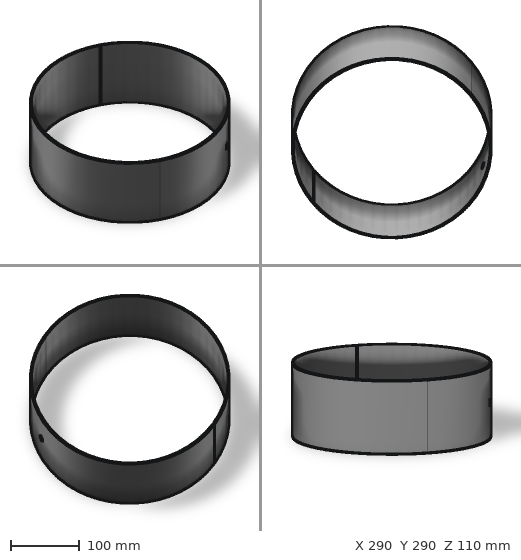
import cadquery as cq

outer_diameter = 290.0
height = 110.0
wall = 2.5
slit_width = 2.3
slit_offset = slit_width / 2
hole_diameter = 10.0
hole_angle = 59
outer_bevel_height = 1.7
outer_bevel_depth = 0.5
inner_bevel = 0.5

outer_radius = outer_diameter / 2
inner_radius = outer_radius - wall
mid_height = height / 2


def make_band():
    """Thin cylindrical band centred on the origin, bevelled on its inner and outer rims."""
    profile = [
        (inner_radius + inner_bevel, -mid_height),
        (outer_radius - outer_bevel_depth, -mid_height),
        (outer_radius, outer_bevel_height - mid_height),
        (outer_radius, mid_height - outer_bevel_height),
        (outer_radius - outer_bevel_depth, mid_height),
        (inner_radius + inner_bevel, mid_height),
        (inner_radius, mid_height - inner_bevel),
        (inner_radius, inner_bevel - mid_height),
    ]
    return cq.Workplane("XZ").polyline(profile).close().revolve(360, (0, 0), (0, 1))


def make_slit():
    """Full-height cut that opens the band on its -X side."""
    cutter = cq.Workplane("XY").box(outer_radius, slit_width, height)
    return cutter.translate((-outer_radius, slit_offset, 0))


def make_hole():
    """Radial hole through the wall at mid-height, turned from +X towards +Y."""
    drill = cq.Workplane("YZ").circle(hole_diameter / 2).extrude(outer_diameter)
    return drill.rotate((0, 0, 0), (0, 0, 1), hole_angle)


result = make_band().cut(make_slit()).cut(make_hole())